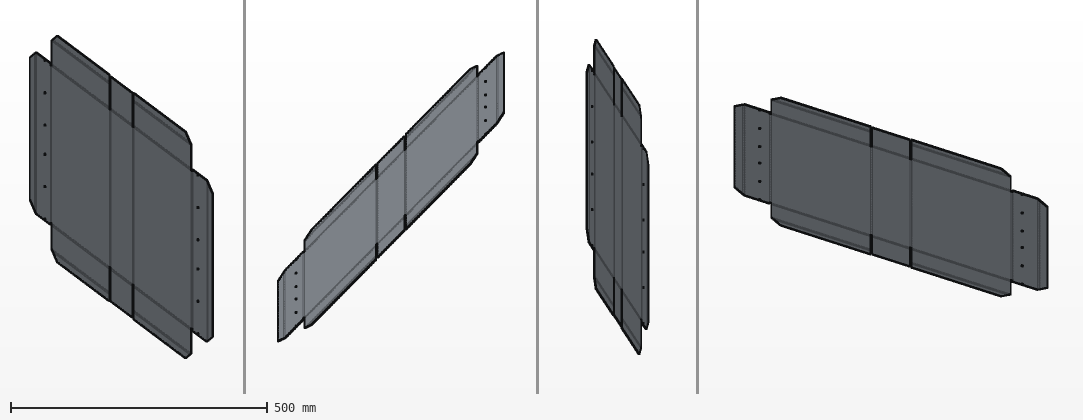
import cadquery as cq

width = 652.0
height = 507.0
thickness = 2.0
bend_width = 4.0

spine_width = 78.0
panel_width = 206.0
base_height = 353.5

side_wall_width = 52.0
end_wall_height = 53.0
spine_height = 503.0

hole_diameter = 3.0
hole_x = 273.0
hole_heights = (32.5, 105.0, 178.0)

spine_half_width = spine_width / 2
panel_inner_x = spine_half_width + bend_width
panel_outer_x = panel_inner_x + panel_width
side_wall_inner_x = panel_outer_x + bend_width
side_wall_outer_x = side_wall_inner_x + side_wall_width
side_lip_x = side_wall_outer_x + bend_width
half_width = width / 2

base_half_height = base_height / 2
wall_half_height = base_half_height + bend_width
end_wall_top = wall_half_height + end_wall_height
end_lip_z = end_wall_top + bend_width
half_height = height / 2
spine_top = spine_height / 2


def plate(points):
    """Sheet with the given (x, z) outline, centred on Y = 0."""
    return cq.Workplane("XZ").polyline(points).close().extrude(thickness / 2, both=True)


def rectangle(x_min, x_max, z_min, z_max):
    """Rectangular sheet between the given limits."""
    return plate([(x_min, z_min), (x_max, z_min), (x_max, z_max), (x_min, z_max)])


def side_strip(x_min, x_max):
    """Strip beyond the side wall, both ends mitered at 45 degrees from the wall's corners."""
    z_inner = wall_half_height - (x_min - side_wall_outer_x)
    z_outer = wall_half_height - (x_max - side_wall_outer_x)
    return plate([(x_min, -z_inner), (x_max, -z_outer), (x_max, z_outer), (x_min, z_inner)])


def end_strip(z_min, z_max):
    """Strip beyond the end wall, its outer end mitered at 45 degrees from the wall's corner."""
    x_lower = panel_outer_x - (z_min - end_wall_top)
    x_upper = panel_outer_x - (z_max - end_wall_top)
    return plate([(panel_inner_x, z_min), (x_lower, z_min), (x_upper, z_max), (panel_inner_x, z_max)])


def side_wall():
    """Right-hand wall with its column of through holes."""
    wall = rectangle(side_wall_inner_x, side_wall_outer_x, -wall_half_height, wall_half_height)
    centres = [(hole_x, side * z) for z in hole_heights for side in (-1, 1)]
    holes = (
        cq.Workplane("XZ")
        .pushPoints(centres)
        .circle(hole_diameter / 2)
        .extrude(thickness, both=True)
    )
    return wall.cut(holes)


def right_side_flange():
    return [
        rectangle(panel_outer_x, side_wall_inner_x, -base_half_height, base_half_height),
        side_wall(),
        side_strip(side_wall_outer_x, side_lip_x),
        side_strip(side_lip_x, half_width),
    ]


def upper_right_end_flange():
    return [
        rectangle(panel_inner_x, panel_outer_x, base_half_height, wall_half_height),
        rectangle(panel_inner_x, panel_outer_x, wall_half_height, end_wall_top),
        end_strip(end_wall_top, end_lip_z),
        end_strip(end_lip_z, half_height),
    ]


def upper_spine_flange():
    return [
        rectangle(-spine_half_width, spine_half_width, base_half_height, wall_half_height),
        rectangle(-spine_half_width, spine_half_width, wall_half_height, spine_top),
    ]


def with_mirror(pieces, plane):
    """The pieces together with their mirror images."""
    return pieces + [piece.mirror(plane) for piece in pieces]


spine = rectangle(-spine_half_width, spine_half_width, -base_half_height, base_half_height)
right_base = [
    rectangle(spine_half_width, panel_inner_x, -base_half_height, base_half_height),
    rectangle(panel_inner_x, panel_outer_x, -base_half_height, base_half_height),
]
pieces = with_mirror(right_base + right_side_flange(), "YZ")
pieces += with_mirror(with_mirror(upper_right_end_flange(), "YZ"), "XY")
pieces += with_mirror(upper_spine_flange(), "XY")

result = spine
for piece in pieces:
    result = result.union(piece, clean=False)